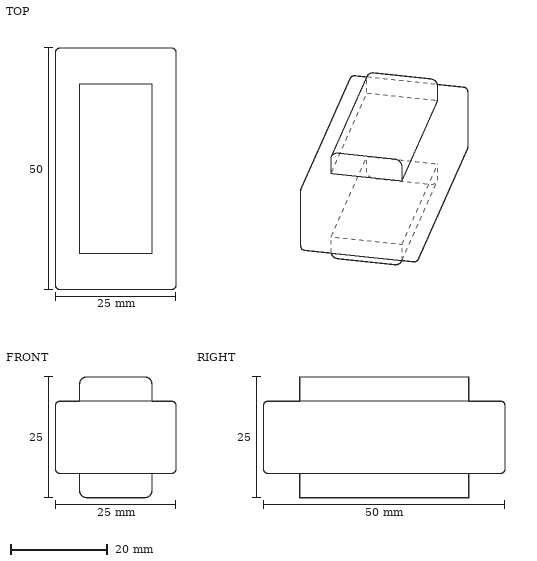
import cadquery as cq

body_length = 50.0
body_width = 25.0
body_height = 15.0
body_edge_radius = 1.0

pad_length = 35.0
pad_width = 15.0
pad_rise = 5.0
pad_edge_radius = 1.5


def make_body():
    """Block centred on the origin with all its edges rounded."""
    return cq.Workplane("XY").box(body_width, body_length, body_height).edges().fillet(body_edge_radius)


def make_pads():
    """One bar through the block, forming both pads, with its long edges rounded."""
    bar_height = body_height + 2 * pad_rise
    bar = cq.Workplane("XY").box(pad_width, pad_length, bar_height)
    return bar.edges("|Y").fillet(pad_edge_radius)


result = make_body().union(make_pads())